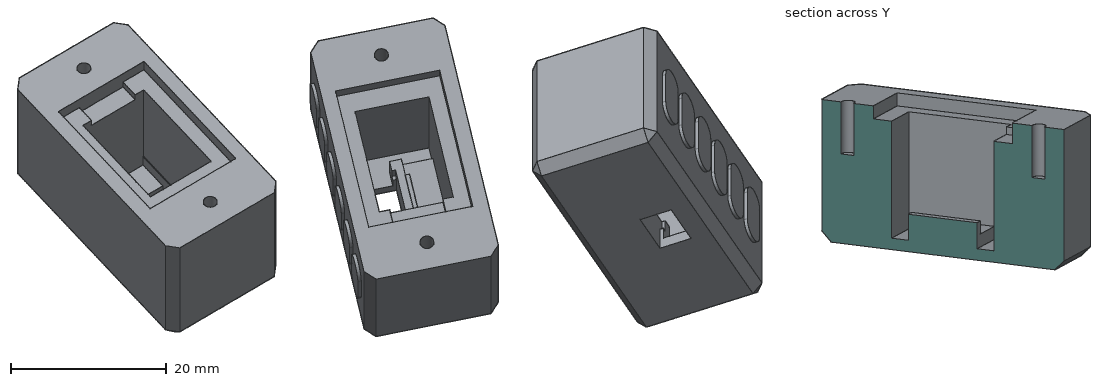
import cadquery as cq

length = 34.62
width = 17.7
height = 18.9
corner_x = 1.4
corner_y = 1.28
bevel_height = 1.4

interior_offset = 0.052

recess_length = 19.77
recess_width = 13.7
recess_depth = 1.73
pocket_length = 14.55
pocket_width = 9.73
wall_step = 0.1
wall_step_height = 1.73
floor_thickness = 1.6
notch_width = 7.0
notch_depth = 1.0

clamp_length = 9.83
platform_height = 1.73
bar_height = 3.45
bar_front = 0.83
bar_back = -0.73
bar_notch_length = 7.13
bar_notch_depth = 0.5
bar_notch_height = 1.73
rib_depth = 0.65
rib_height = 2.6

window_length = 6.02

screw_diameter = 1.75
screw_spacing = 27.2
screw_depth = 6.92

pad_count = 6
pad_pitch = 4.95
pad_width = 3.77
pad_height = 8.4
pad_thickness = 0.45
pad_center_z = 10.2

half_length = length / 2
half_width = width / 2
ledge_z = height - recess_depth
pocket_wall_y = pocket_width / 2
wall_foot_y = pocket_wall_y - wall_step
bar_top = floor_thickness + bar_height
bar_notch_back = bar_front - bar_notch_depth


def block(x_range, y_range, z_range):
    """Box spanning the given (low, high) pairs."""
    spans = [high - low for low, high in (x_range, y_range, z_range)]
    corner = cq.Vector(x_range[0], y_range[0], z_range[0])
    return cq.Workplane(obj=cq.Solid.makeBox(*spans, corner))


def centered(size):
    """(low, high) pair of a span centred on zero."""
    return (-size / 2, size / 2)


def make_foot():
    """Bevelled underside: eight-sided at its top, a plain rectangle at Z = 0."""
    inner_x = half_length - corner_x
    inner_y = half_width - corner_y
    quadrants = [(1, 1), (-1, 1), (-1, -1), (1, -1)]
    bottom = [(sx * inner_x, sy * inner_y, 0) for sx, sy in quadrants]
    side_points = [(sx * half_length, sy * inner_y, bevel_height) for sx, sy in quadrants]
    end_points = [(sx * inner_x, sy * half_width, bevel_height) for sx, sy in quadrants]

    rim = []
    outlines = [bottom]
    for i, (sx, sy) in enumerate(quadrants):
        following = (i + 1) % len(quadrants)
        outlines.append([side_points[i], end_points[i], bottom[i]])
        edge_points = end_points if sx * sy > 0 else side_points
        outlines.append([edge_points[i], edge_points[following], bottom[following], bottom[i]])
        pair = [side_points[i], end_points[i]]
        rim += pair if sx * sy > 0 else pair[::-1]
    outlines.append(rim)

    faces = []
    for outline in outlines:
        points = [cq.Vector(*point) for point in outline]
        faces.append(cq.Face.makeFromWires(cq.Wire.makePolygon(points, close=True)))
    return cq.Workplane(obj=cq.Solid.makeSolid(cq.Shell.makeShell(faces)))


def make_housing():
    inner_x = half_length - corner_x
    inner_y = half_width - corner_y
    outline = [
        (half_length, -inner_y), (half_length, inner_y),
        (inner_x, half_width), (-inner_x, half_width),
        (-half_length, inner_y), (-half_length, -inner_y),
        (-inner_x, -half_width), (inner_x, -half_width),
    ]
    walls = (
        cq.Workplane("XY", origin=(0, 0, bevel_height))
        .polyline(outline).close().extrude(height - bevel_height)
    )
    return walls.union(make_foot())


def make_pocket():
    recess = block(centered(recess_length), centered(recess_width), (ledge_z, height))
    pocket_x = centered(pocket_length)
    step_z = floor_thickness + wall_step_height
    upper = block(pocket_x, centered(pocket_width), (step_z, height))
    lower = block(pocket_x, (-pocket_wall_y, wall_foot_y), (floor_thickness, step_z))
    notch = block((-recess_length / 2, 0), centered(notch_width), (ledge_z - notch_depth, height))
    return recess.union(upper).union(lower).union(notch)


def make_clamp():
    clamp_x = centered(clamp_length)
    platform_top = floor_thickness + platform_height
    rib_top = floor_thickness + rib_height
    platform = block(clamp_x, (-pocket_wall_y, bar_back), (floor_thickness, platform_top))
    rib = block(centered(window_length), (bar_back - rib_depth, bar_back), (floor_thickness, rib_top))
    bar = block(clamp_x, (bar_back, bar_front), (floor_thickness, bar_top))
    bar_notch = block(
        centered(bar_notch_length), (bar_notch_back, bar_front), (bar_top - bar_notch_height, bar_top)
    )
    return platform.union(rib).union(bar.cut(bar_notch))


def make_window():
    """Cutter for the floor window, tall enough to trim the front of the bar as well."""
    return block(centered(window_length), (bar_notch_back, wall_foot_y), (0, bar_top))


def make_screw_holes():
    return (
        cq.Workplane("XY", origin=(0, 0, height - screw_depth))
        .rarray(screw_spacing, 0.35, 2, 1)
        .circle(screw_diameter / 2).extrude(screw_depth)
    )


def make_pads():
    embed = pad_thickness / 2
    return (
        cq.Workplane("XZ", origin=(0, half_width - embed, pad_center_z))
        .rarray(pad_pitch, 0.35, pad_count, 1)
        .slot2D(pad_height, pad_width, 90)
        .extrude(-(pad_thickness + embed))
    )


openings = make_pocket().union(make_screw_holes())
interior_shift = (0, interior_offset, 0)
result = (
    make_housing()
    .cut(openings.translate(interior_shift))
    .union(make_clamp().translate(interior_shift))
    .cut(make_window().translate(interior_shift))
    .union(make_pads())
)